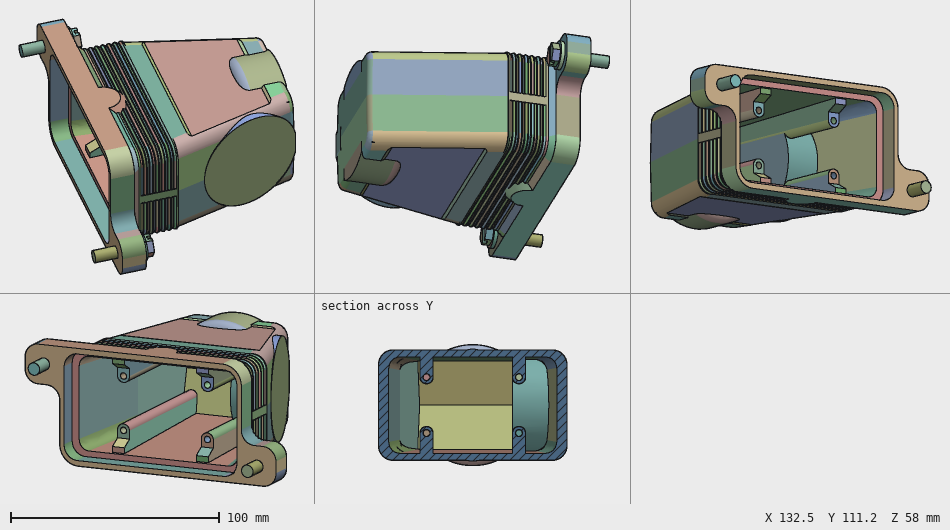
import cadquery as cq
import math


flange_length = 132.5
flange_width = 58.0
flange_height = 12.0
rim_half_x = 48.0
ear_width = 19.6
ear_radius = 6.9
rim_radius = 10.0

skirt_half_x = 45.2
skirt_half_z = 26.5
skirt_radius = 7.2
skirt_top = 35.0
skirt_flare = 2.5
flare_top = 15.1

groove_count = 6
groove_pitch = 3.0
first_groove_y = 17.6
groove_mouth = 2.6
groove_floor = 0.5
groove_depth = 0.7
seam_strip_width = 4.6

hood_top = 99.9
hood_base_half_x = 44.5
hood_slope = 0.27
hood_draft = 1.2
hood_top_radius = 2.9
hood_allowance = 5.3

panel_low, panel_high = 42.8, 88.9
panel_depth = 0.5
panel_bevel = 1.6

neck_radius = flange_width / 2
neck_low = 76.8
neck_high = hood_top - 0.4
neck_round = 5.0
neck_clip = 29.2
side_boss_radius = 25.5
side_boss_y = 75.1
side_boss_inner_x = 19.1
latch_radius = 8.1
latch_flare = 3.3

recess_half_x = 45.6
recess_half_z = 26.2
recess_radius = 7.0
recess_depth = 9.1
cavity_half_x = 41.9
cavity_half_z = 23.3
cavity_radius = 5.3
cavity_roof = 96.0
cavity_slope_x = 0.135
cavity_slope_z = 0.026
roof_draft = 9
sloped_wall_roof_x = -25.5

post_x = 22.1
post_z = 13.4
post_radius = 3.2
post_hole_radius = 1.6
post_hole_depth = 10.6
post_foot_y = 11.3
post_face_y = 17.0
post_foot_z = 20.4
post_slope_z = 17.4
post_embed = 1.2

screw_x, screw_z = 56.3, 19.5
screw_radius = 3.0
screw_tip = 11.3
washer_radius = 6.9
washer_height = 1.9
head_corners = 11.3
head_height = 3.7
slot_width = 2.0
slot_depth = 1.9


def plane_at(y):
    """Sketch plane across Y: local x is X, local y is Z."""
    return cq.Workplane("XZ", origin=(0, y, 0))


def rounded_rectangle(half_x, half_z, radius):
    return cq.Sketch().rect(2 * half_x, 2 * half_z).vertices().fillet(radius)


def rounded_block(half_x, half_z, radius, low, high):
    return plane_at(low).placeSketch(rounded_rectangle(half_x, half_z, radius)).extrude(low - high)


def skirt_section(offset, y):
    """Outline of the skirt grown by offset (or shrunk), placed at height y."""
    section = rounded_rectangle(skirt_half_x + offset, skirt_half_z + offset, skirt_radius + offset)
    return section.moved(cq.Location(cq.Vector(0, 0, -y)))


def skirt_slice(low_offset, high_offset, low, high):
    sections = (skirt_section(low_offset, low), skirt_section(high_offset, high))
    return plane_at(0).placeSketch(*sections).loft(ruled=True)


def both_sides(solid):
    return solid.union(solid.mirror("XY"))


def make_flange():
    end_x, edge_z = flange_length / 2, flange_width / 2
    ear_z = edge_z - ear_width
    outline = [
        (-end_x, edge_z), (rim_half_x, edge_z), (rim_half_x, -ear_z), (end_x, -ear_z),
        (end_x, -edge_z), (-rim_half_x, -edge_z), (-rim_half_x, ear_z), (-end_x, ear_z),
    ]
    flange = plane_at(0).polyline(outline).close().extrude(-flange_height)
    for x, z in [outline[1], outline[5]]:
        corner = cq.selectors.NearestToPointSelector((x, flange_height / 2, z))
        flange = flange.edges(corner).fillet(rim_radius)
    for i in (0, 2, 3, 4, 6, 7):
        x, z = outline[i]
        corner = cq.selectors.NearestToPointSelector((x, flange_height / 2, z))
        flange = flange.edges(corner).fillet(ear_radius)
    return flange


def groove_ring(y):
    mouth_low, mouth_high = y - groove_mouth / 2, y + groove_mouth / 2
    floor_low, floor_high = y - groove_floor / 2, y + groove_floor / 2
    core = skirt_slice(0, -groove_depth, mouth_low, floor_low)
    core = core.union(skirt_slice(-groove_depth, -groove_depth, floor_low, floor_high))
    core = core.union(skirt_slice(-groove_depth, 0, floor_high, mouth_high))
    strip = cq.Workplane("XY").box(2 * skirt_half_x, 2 * hood_top, seam_strip_width)
    return skirt_slice(0, 0, mouth_low, mouth_high).cut(core).cut(strip)


def make_skirt():
    skirt = skirt_slice(skirt_flare, 0, flange_height, flare_top)
    skirt = skirt.union(skirt_slice(0, 0, flare_top, skirt_top))
    for i in range(groove_count):
        skirt = skirt.cut(groove_ring(first_groove_y + i * groove_pitch))
    return skirt


def hood_half_x(y):
    return hood_base_half_x - hood_slope * (y - skirt_top)


def hood_outline():
    low = skirt_top - hood_allowance
    return [
        (-hood_half_x(low), low), (-hood_half_x(hood_top), hood_top),
        (hood_half_x(hood_top), hood_top), (hood_half_x(low), low),
    ]


def make_hood():
    half = cq.Workplane("XY").polyline(hood_outline()).close()
    half = half.extrude(skirt_half_z, taper=hood_draft)
    slanted_y = (skirt_top + hood_top) / 2
    slanted_x = hood_half_x(slanted_y)
    for x in (-slanted_x, slanted_x):
        edge = cq.selectors.NearestToPointSelector((x, slanted_y, skirt_half_z))
        half = half.edges(edge).fillet(skirt_radius)
    top = cq.selectors.NearestToPointSelector((0, hood_top, skirt_half_z / 2))
    not_seam = cq.selectors.BoxSelector((-66.2, 92.8, 0.1), (66.2, 106, 39.8))
    half = half.faces(top).edges(not_seam).fillet(hood_top_radius)
    trim = cq.Workplane("XY").box(flange_length, 2 * skirt_top, flange_width)
    return both_sides(half).cut(trim)


def panel_recess():
    floor_z = skirt_half_z - panel_depth
    profile = [
        (panel_low, skirt_half_z), (panel_low + panel_bevel, floor_z),
        (panel_high - panel_bevel, floor_z), (panel_high, skirt_half_z),
    ]
    recess = cq.Workplane("YZ").polyline(profile).close().extrude(rim_half_x, both=True)
    return both_sides(recess)


def make_neck():
    neck = plane_at(neck_low).circle(neck_radius).extrude(neck_low - neck_high)
    neck = neck.faces("<Y").edges().fillet(neck_round)
    clip = cq.Workplane("XY").box(neck_clip, 2 * hood_top, flange_width)
    return neck.intersect(clip)


def side_cylinder():
    length = rim_half_x - side_boss_inner_x
    start = cq.Workplane("YZ", origin=(side_boss_inner_x, 0, 0))
    return start.center(side_boss_y, 0).circle(side_boss_radius).extrude(length)


def make_side_boss():
    wedge = cq.Workplane("XY").polyline(hood_outline()).close().extrude(skirt_half_z, both=True)
    return side_cylinder().intersect(wedge)


def make_latch_bosses():
    boss = (
        cq.Workplane("XY", origin=(0, flange_height, flange_width / 2))
        .circle(latch_radius)
        .workplane(offset=-latch_flare).circle(latch_radius + latch_flare)
        .loft()
    )
    return both_sides(boss)


def make_cavity():
    rise = cavity_roof - recess_depth
    cavity = (
        plane_at(recess_depth).rect(2 * cavity_half_x, 2 * cavity_half_z)
        .workplane(offset=-rise)
        .rect(2 * (cavity_half_x - cavity_slope_x * rise), 2 * (cavity_half_z - cavity_slope_z * rise))
        .loft(ruled=True)
    )
    cavity = cavity.edges("not(|X or |Z)").fillet(cavity_radius)

    foot_x = sloped_wall_roof_x - hood_slope * cavity_roof
    wall = cq.Workplane("XY").polyline([
        (foot_x, 0), (sloped_wall_roof_x, cavity_roof), (foot_x, cavity_roof),
    ]).close().extrude(skirt_half_z, both=True)

    drop = skirt_half_z * math.tan(math.radians(roof_draft))
    roof = cq.Workplane("YZ").polyline([
        (cavity_roof, 0), (cavity_roof, skirt_half_z), (cavity_roof - drop, skirt_half_z),
    ]).close().extrude(rim_half_x, both=True)

    above_boss = cq.Workplane("XY", origin=(side_boss_inner_x, side_boss_y, 0))
    above_boss = above_boss.box(rim_half_x, hood_top, flange_width, centered=(False, False, True))
    cavity = cavity.cut(wall).cut(both_sides(roof)).cut(side_cylinder()).cut(above_boss)
    recess = rounded_block(recess_half_x, recess_half_z, recess_radius, 0, recess_depth)
    return cavity.union(recess)


def make_post():
    wall_z = cavity_half_z + post_embed
    roof_y = cavity_roof + post_embed
    profile = [
        (post_foot_y, wall_z), (post_foot_y, post_foot_z), (post_face_y, post_slope_z),
        (post_face_y, post_z), (roof_y, post_z), (roof_y, wall_z),
    ]
    post = cq.Workplane("YZ").polyline(profile).close().extrude(post_radius, both=True)
    nose = plane_at(post_face_y).center(0, post_z).circle(post_radius)
    post = post.union(nose.extrude(post_face_y - roof_y))
    hole = plane_at(post_face_y).center(0, post_z).circle(post_hole_radius)
    return post.cut(hole.extrude(-post_hole_depth))


def make_screw():
    head_base = flange_height + washer_height
    head_top = head_base + head_height
    shank = plane_at(-screw_tip).circle(screw_radius).extrude(-screw_tip - flange_height)
    washer = plane_at(flange_height).circle(washer_radius).extrude(-washer_height)
    head = plane_at(head_base).polygon(6, head_corners).extrude(-head_height)
    slot = plane_at(head_top).rect(slot_width, head_corners).extrude(slot_depth)
    return shank.union(washer).union(head.cut(slot))


body = make_flange().union(make_skirt()).union(make_hood()).cut(panel_recess())
body = body.union(make_neck()).union(make_side_boss()).union(make_latch_bosses())
body = body.cut(make_cavity())

post_pair = both_sides(make_post())
for x in (-post_x, post_x):
    body = body.union(post_pair.translate((x, 0, 0)))

screw = make_screw()
for side in (-1, 1):
    body = body.union(screw.translate((side * screw_x, 0, -side * screw_z)))

result = body